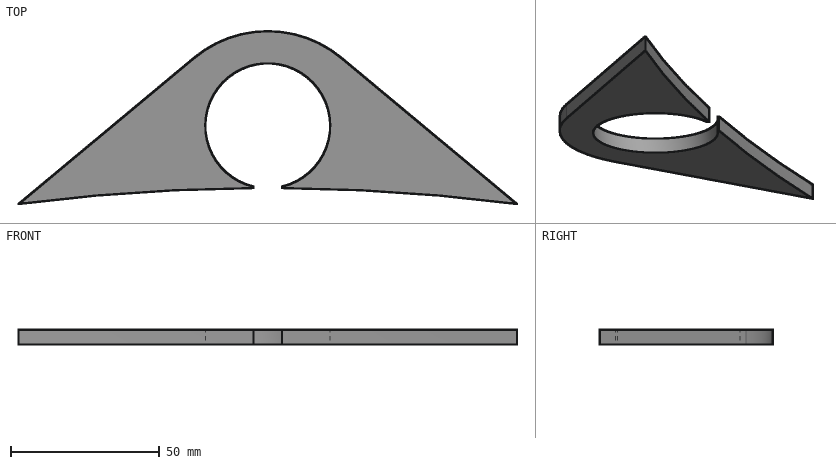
import cadquery as cq
import math

span = 168.0
height = 58.3
thickness = 5.0
half_span = span / 2

crown_radius = 38.6
crown_center_y = height - crown_radius

base_rise = 5.4

hole_diameter = 42.0
crown_wall = 11.0
hole_center_y = height - crown_wall - hole_diameter / 2
slot_width = 9.7

tip_distance = math.hypot(half_span, crown_center_y)
tip_direction = math.atan2(-crown_center_y, half_span)
tangent_angle = tip_direction + math.acos(crown_radius / tip_distance)
tangent_x = crown_radius * math.cos(tangent_angle)
tangent_y = crown_center_y + crown_radius * math.sin(tangent_angle)

plate = (
    cq.Workplane("XY")
    .moveTo(-half_span, 0)
    .threePointArc((0, base_rise), (half_span, 0))
    .lineTo(tangent_x, tangent_y)
    .threePointArc((0, height), (-tangent_x, tangent_y))
    .close()
    .extrude(thickness)
)

hole = (
    cq.Workplane("XY")
    .center(0, hole_center_y)
    .circle(hole_diameter / 2)
    .extrude(thickness)
)

slot = (
    cq.Workplane("XY")
    .rect(slot_width, 2 * hole_center_y)
    .extrude(thickness)
)

result = plate.cut(hole).cut(slot)